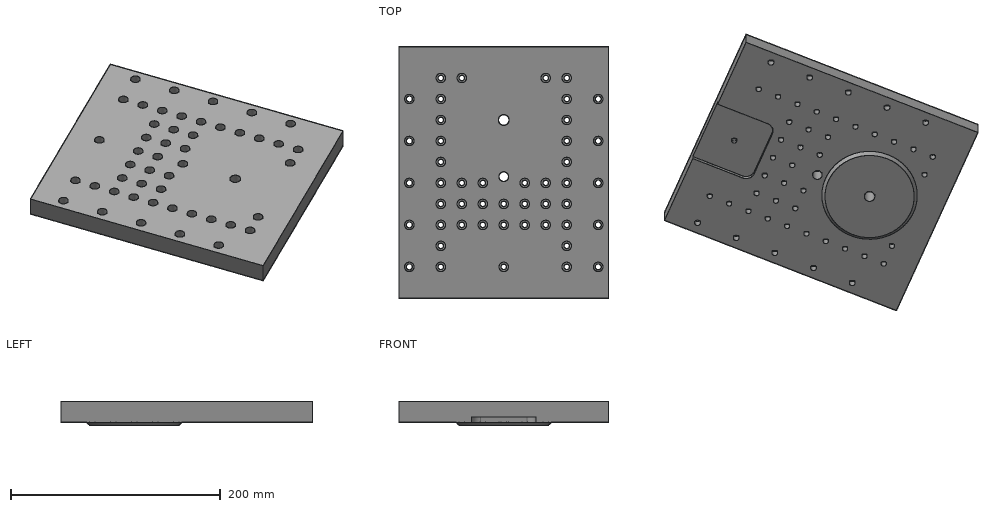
import cadquery as cq

PLATE_X = 200.0
PLATE_Y = 240.0
PLATE_Z = 20.0

BOSS_Y = 50.0
BOSS_HEIGHT = 3.0
BOSS_TIP_DIAMETER = 85.0
BOSS_ROOT_DIAMETER = BOSS_TIP_DIAMETER + 2 * BOSS_HEIGHT

BOSS_HOLE_DIAMETER = 10.0
SIDE_HOLE_DIAMETER = 9.0
SIDE_HOLE_Y = -4.0

PITCH = 20.0
EDGE_COLUMN_X = 90.0
EDGE_FIRST_Y = 70.0
EDGE_ROW_COUNT = 5
GRID_FIRST_Y = 90.0
GRID_ROW_COUNT = 10
GRID_ROWS_Y = [GRID_FIRST_Y - PITCH * row for row in range(GRID_ROW_COUNT)]
EDGE_ROWS_Y = [EDGE_FIRST_Y - 2 * PITCH * row for row in range(EDGE_ROW_COUNT)]
BLOCK_ROWS_Y = [-10.0, -30.0, -50.0]
CENTRE_ROWS_Y = [-30.0, -50.0, -90.0]
EDGE_SHANK_DIAMETER = 5.5
INNER_SHANK_DIAMETER = 5.0
HEAD_DIAMETER = 9.0
HEAD_DEPTH = 10.0

RECESS_WIDTH = 61.0
RECESS_HEIGHT = 5.0
RECESS_LENGTH = 60.0
RECESS_CORNER_RADIUS = 8.5


def mirrored(x, rows):
    """Points at +x and -x for every row."""
    return [(side * x, y) for y in rows for side in (-1, 1)]


def edge_points():
    return mirrored(EDGE_COLUMN_X, EDGE_ROWS_Y)


def inner_points():
    points = mirrored(3 * PITCH, GRID_ROWS_Y)
    points += mirrored(2 * PITCH, [GRID_FIRST_Y] + BLOCK_ROWS_Y)
    points += mirrored(PITCH, BLOCK_ROWS_Y)
    points += [(0, y) for y in CENTRE_ROWS_Y]
    return points


def plate():
    return cq.Workplane("XY").box(PLATE_X, PLATE_Y, PLATE_Z, centered=(True, True, False))


def boss():
    return (
        cq.Workplane("XY")
        .center(0, BOSS_Y)
        .circle(BOSS_ROOT_DIAMETER / 2)
        .workplane(offset=-BOSS_HEIGHT)
        .circle(BOSS_TIP_DIAMETER / 2)
        .loft(ruled=True)
    )


def recess():
    return (
        cq.Workplane("XY")
        .center(0, -PLATE_Y / 2 + RECESS_LENGTH / 2)
        .rect(RECESS_WIDTH, RECESS_LENGTH)
        .extrude(RECESS_HEIGHT)
        .edges("|Z and >Y")
        .fillet(RECESS_CORNER_RADIUS)
    )


def hole_cutter(y, diameter):
    height = PLATE_Z + BOSS_HEIGHT
    return (
        cq.Workplane("XY")
        .workplane(offset=-BOSS_HEIGHT)
        .center(0, y)
        .circle(diameter / 2)
        .extrude(height)
    )


def counterbored_holes(part, points, shank_diameter):
    """Cut through holes with a counterbore sunk from the top face."""
    return (
        part.faces(">Z")
        .workplane(origin=(0, 0, PLATE_Z))
        .pushPoints(points)
        .cboreHole(shank_diameter, HEAD_DIAMETER, HEAD_DEPTH)
    )


body = (
    plate()
    .union(boss())
    .cut(recess())
    .cut(hole_cutter(BOSS_Y, BOSS_HOLE_DIAMETER))
    .cut(hole_cutter(SIDE_HOLE_Y, SIDE_HOLE_DIAMETER))
)
body = counterbored_holes(body, edge_points(), EDGE_SHANK_DIAMETER)
result = counterbored_holes(body, inner_points(), INNER_SHANK_DIAMETER)